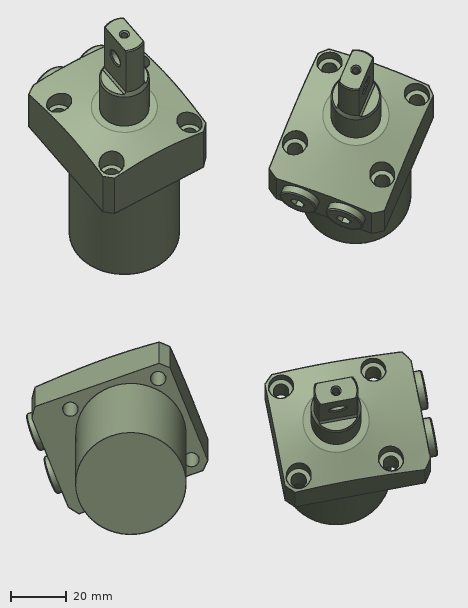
import cadquery as cq
import math


barrel_diameter = 40.0
block_bottom = 46.5
block_top = 71.5
block_right = 22.5
block_left = 31.3
block_width = 45.0
crown_flat_diameter = 24.0
crown_angle = 15.0
port_side_corner_radius = 36.4
plain_side_chamfer = 3.0

screw_spacing = 34.0
screw_hole_diameter = 5.5
counterbore_diameter = 9.0
counterbore_floor = 61.6

plug_spacing = 18.0
plug_height = 57.5
plug_diameter = 14.2
plug_thickness = 3.2
plug_chamfer = 0.5
socket_sides = 6
socket_across_flats = 5.0
socket_rotation = 12.0

rod_top = 113.0
rod_diameter = 18.1
shoulder_start = 88.0
shoulder_angle = 30.0
tongue_diameter = 16.0
tongue_thickness = 8.0
flat_bottom = 88.9
flat_foot_chamfer = 0.8
tongue_top_chamfer = 0.5
cross_hole_height = 102.0
cross_hole_diameter = 6.0
cross_hole_chamfer = 0.5
end_hole_diameter = 2.5
end_hole_chamfer = 0.6


def make_block():
    """Rectangular block with a conical crown and relieved corners."""
    block = (
        cq.Workplane("XY", origin=(0, 0, block_bottom))
        .moveTo((block_right - block_left) / 2, 0)
        .rect(block_right + block_left, block_width)
        .extrude(block_top - block_bottom)
        .edges("|Z and >X").chamfer(plain_side_chamfer)
    )
    crown_radius = crown_flat_diameter / 2
    crown_fall = (port_side_corner_radius - crown_radius) * math.tan(math.radians(crown_angle))
    envelope = (
        cq.Workplane("XZ")
        .moveTo(0, block_bottom)
        .lineTo(port_side_corner_radius, block_bottom)
        .lineTo(port_side_corner_radius, block_top - crown_fall)
        .lineTo(crown_radius, block_top)
        .lineTo(0, block_top)
        .close()
        .revolve(360, (0, 0, 0), (0, 1, 0))
    )
    return block.intersect(envelope)


def make_screw_pattern(diameter, bottom):
    """Four cylinders on the screw positions, from the given height to the block top."""
    return (
        cq.Workplane("XY", origin=(0, 0, bottom))
        .rect(screw_spacing, screw_spacing, forConstruction=True).vertices()
        .circle(diameter / 2)
        .extrude(block_top - bottom)
    )


def make_housing():
    """Barrel and mounting block in one piece, with four counterbored screw holes."""
    barrel = cq.Workplane("XY").circle(barrel_diameter / 2).extrude(block_bottom)
    housing = barrel.union(make_block())
    screw_holes = make_screw_pattern(screw_hole_diameter, block_bottom)
    counterbores = make_screw_pattern(counterbore_diameter, counterbore_floor)
    return housing.cut(screw_holes).cut(counterbores)


def make_plug(y):
    """Round port plug against the -X face, with a hexagon socket down to the block face."""
    across_corners = socket_across_flats / math.cos(math.pi / socket_sides)
    face_plane = cq.Plane(origin=(-block_left, y, plug_height), xDir=(0, -1, 0), normal=(-1, 0, 0))
    plug = (
        cq.Workplane(face_plane)
        .circle(plug_diameter / 2)
        .extrude(plug_thickness)
        .faces("<X").chamfer(plug_chamfer)
    )
    socket = (
        cq.Workplane(face_plane)
        .transformed(rotate=(0, 0, socket_rotation))
        .polygon(socket_sides, across_corners)
        .extrude(plug_thickness)
    )
    return plug.cut(socket)


def make_tongue_flats():
    """Material removed on both sides of the tongue, leaving a bevelled foot."""
    half_thickness = tongue_thickness / 2
    reach = rod_diameter
    side = (
        cq.Workplane("YZ", origin=(-reach, 0, 0))
        .moveTo(half_thickness, rod_top)
        .lineTo(half_thickness, flat_bottom + flat_foot_chamfer)
        .lineTo(half_thickness + flat_foot_chamfer, flat_bottom)
        .lineTo(reach, flat_bottom)
        .lineTo(reach, rod_top)
        .close()
        .extrude(2 * reach)
    )
    return side.union(side.mirror("XZ"))


def make_cross_hole():
    """Pin hole through the tongue along Y, bevelled at both faces."""
    half_thickness = tongue_thickness / 2
    radius = cross_hole_diameter / 2
    return (
        cq.Workplane("XY", origin=(0, 0, cross_hole_height))
        .moveTo(0, -half_thickness)
        .lineTo(radius + cross_hole_chamfer, -half_thickness)
        .lineTo(radius, -half_thickness + cross_hole_chamfer)
        .lineTo(radius, half_thickness - cross_hole_chamfer)
        .lineTo(radius + cross_hole_chamfer, half_thickness)
        .lineTo(0, half_thickness)
        .close()
        .revolve(360, (0, 0, 0), (0, 1, 0))
    )


def make_end_hole():
    """Bevelled hole from the rod end down into the cross hole."""
    radius = end_hole_diameter / 2
    return (
        cq.Workplane("XZ")
        .moveTo(0, rod_top)
        .lineTo(radius + end_hole_chamfer, rod_top)
        .lineTo(radius, rod_top - end_hole_chamfer)
        .lineTo(radius, cross_hole_height)
        .lineTo(0, cross_hole_height)
        .close()
        .revolve(360, (0, 0, 0), (0, 1, 0))
    )


def make_rod():
    """Stepped rod standing on the block, ending in a flat-sided tongue."""
    rod_radius = rod_diameter / 2
    tongue_radius = tongue_diameter / 2
    shoulder_height = (rod_radius - tongue_radius) / math.tan(math.radians(shoulder_angle))
    rod = (
        cq.Workplane("XZ")
        .moveTo(0, block_top)
        .lineTo(rod_radius, block_top)
        .lineTo(rod_radius, shoulder_start)
        .lineTo(tongue_radius, shoulder_start + shoulder_height)
        .lineTo(tongue_radius, rod_top - tongue_top_chamfer)
        .lineTo(tongue_radius - tongue_top_chamfer, rod_top)
        .lineTo(0, rod_top)
        .close()
        .revolve(360, (0, 0, 0), (0, 1, 0))
    )
    return rod.cut(make_tongue_flats()).cut(make_cross_hole()).cut(make_end_hole())


housing = make_housing()
rod = make_rod()
plugs = [make_plug(y) for y in (-plug_spacing / 2, plug_spacing / 2)]

result = cq.Compound.makeCompound([housing.val(), rod.val(), *[plug.val() for plug in plugs]])